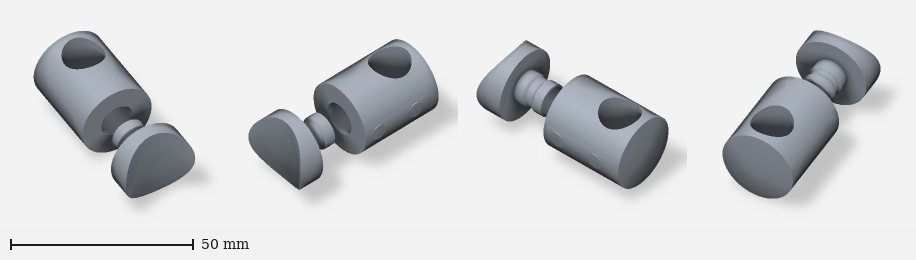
import cadquery as cq
import math

overall_length = 50.55
outer_radius = 10.995

dome_height = 0.75
housing_end = 27.0
bar_hole_x = 8.95
bar_hole_diameter = 12.0
pad_diameter = 4.8
pad_depth = 1.0

stud_start = 32.9
stud_radius = 4.95
stud_bore_diameter = 8.5
groove_radius = 4.425
groove_start = 35.9
groove_end = 39.4
groove_entry_length = 0.45
groove_exit_length = 0.6
head_start = 42.4
saddle_radius = 16.7

socket_depth = head_start - stud_start
closing_travel = head_start - housing_end
bar_pad_x = bar_hole_x
stud_pad_x = (groove_start + groove_end) / 2 - closing_travel


def make_housing():
    """Domed cylinder with a bar hole, an end socket and two pads."""
    dome_radius = (outer_radius**2 + dome_height**2) / (2 * dome_height)
    mid_angle = math.asin(outer_radius / dome_radius) / 2
    dome_mid = (dome_radius * (1 - math.cos(mid_angle)), dome_radius * math.sin(mid_angle))
    body = (
        cq.Workplane("XY")
        .moveTo(0, 0)
        .threePointArc(dome_mid, (dome_height, outer_radius))
        .lineTo(housing_end, outer_radius)
        .lineTo(housing_end, 0)
        .close()
        .revolve(360, (0, 0, 0), (1, 0, 0))
    )

    bar_hole = (
        cq.Workplane("XY")
        .center(bar_hole_x, 0)
        .circle(bar_hole_diameter / 2)
        .extrude(outer_radius, both=True)
    )
    socket = (
        cq.Workplane("YZ", origin=(housing_end - socket_depth, 0, 0))
        .circle(stud_radius)
        .extrude(socket_depth)
    )
    body = body.cut(bar_hole).cut(socket)

    for pad_x in (bar_pad_x, stud_pad_x):
        pad = (
            cq.Workplane("XZ", origin=(pad_x, outer_radius, 0))
            .circle(pad_diameter / 2)
            .extrude(pad_depth)
        )
        body = body.union(pad)
    return body


def make_saddle_stud():
    """Grooved hollow stud carrying a round head with a concave saddle face."""
    body = (
        cq.Workplane("XY")
        .moveTo(stud_start, 0)
        .lineTo(stud_start, stud_radius)
        .lineTo(groove_start, stud_radius)
        .lineTo(groove_start + groove_entry_length, groove_radius)
        .lineTo(groove_end - groove_exit_length, groove_radius)
        .lineTo(groove_end, stud_radius)
        .lineTo(head_start, stud_radius)
        .lineTo(head_start, outer_radius)
        .lineTo(overall_length, outer_radius)
        .lineTo(overall_length, 0)
        .close()
        .revolve(360, (0, 0, 0), (1, 0, 0))
    )

    saddle_x = overall_length + math.sqrt(saddle_radius**2 - outer_radius**2)
    saddle = (
        cq.Workplane("XY")
        .center(saddle_x, 0)
        .circle(saddle_radius)
        .extrude(outer_radius, both=True)
    )
    bore = (
        cq.Workplane("YZ", origin=(stud_start, 0, 0))
        .circle(stud_bore_diameter / 2)
        .extrude(head_start - stud_start)
    )
    return body.cut(saddle).cut(bore)


housing = make_housing()
saddle_stud = make_saddle_stud()

result = cq.Compound.makeCompound([housing.val(), saddle_stud.val()])